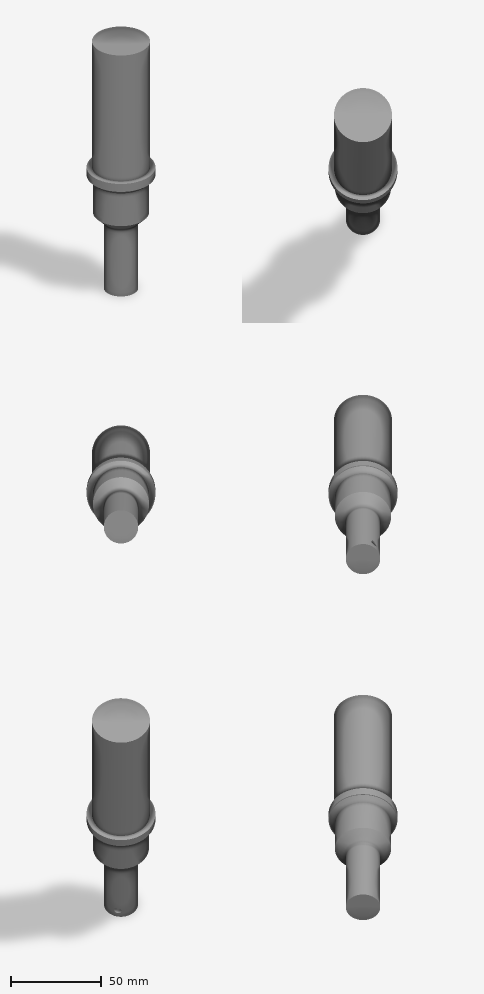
import cadquery as cq
import math

stem_diameter = 19.0
body_diameter = 31.0
flange_diameter = 38.0
shank_diameter = 32.0
cross_hole_diameter = 4.2

total_height = 157.0
shank_length = 80.0
flange_thickness = 5.0
flange_ledge_width = 0.5
body_bottom_z = 48.2
cross_hole_z = 5.0

cone_angle = math.radians(45)
neck_fillet_radius = 2.0

stem_radius = stem_diameter / 2
body_radius = body_diameter / 2
flange_radius = flange_diameter / 2
shank_radius = shank_diameter / 2

flange_top_z = total_height - shank_length
flange_bottom_z = flange_top_z - flange_thickness
ledge_inner_radius = flange_radius - flange_ledge_width
body_top_z = flange_bottom_z - (ledge_inner_radius - body_radius)
shoulder_bottom_z = body_bottom_z - (body_radius - stem_radius)


def point_on_neck_fillet(angle):
    """Point (radius, z) on the fillet; the angle runs from 0 at the stem to cone_angle at the cone."""
    tangent_length = neck_fillet_radius * math.tan(cone_angle / 2)
    radius = stem_radius + neck_fillet_radius * (1 - math.cos(angle))
    z = shoulder_bottom_z - tangent_length + neck_fillet_radius * math.sin(angle)
    return radius, z


def make_turned_body():
    """Solid of revolution: stem, shoulder, body, flange and shank."""
    profile = (
        cq.Workplane("XZ")
        .moveTo(0, 0)
        .lineTo(stem_radius, 0)
        .lineTo(*point_on_neck_fillet(0))
        .threePointArc(
            point_on_neck_fillet(cone_angle / 2),
            point_on_neck_fillet(cone_angle),
        )
        .lineTo(body_radius, body_bottom_z)
        .lineTo(body_radius, body_top_z)
        .lineTo(ledge_inner_radius, flange_bottom_z)
        .lineTo(flange_radius, flange_bottom_z)
        .lineTo(flange_radius, flange_top_z)
        .lineTo(shank_radius, flange_top_z)
        .lineTo(shank_radius, total_height)
        .lineTo(0, total_height)
        .close()
    )
    return profile.revolve(360, (0, 0, 0), (0, 1, 0))


def make_cross_hole():
    """Radial hole drilled from the +Y side of the stem to its axis."""
    return (
        cq.Workplane("XZ", origin=(0, 0, cross_hole_z))
        .circle(cross_hole_diameter / 2)
        .extrude(-stem_radius)
    )


result = make_turned_body().cut(make_cross_hole())